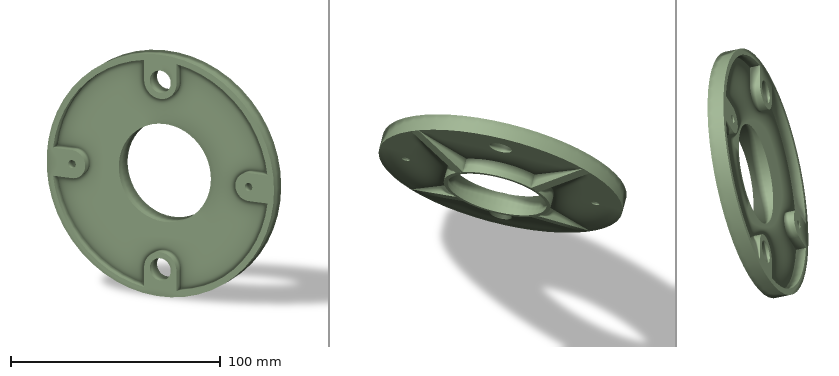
import cadquery as cq
import math

disc_diameter = 119.9
disc_thickness = 8.0
rim_width = 3.0
floor_thickness = 3.0
pocket_depth = disc_thickness - floor_thickness

bore_diameter = 48.5
collar_diameter = 52.5
overall_depth = 15.0
collar_height = overall_depth - disc_thickness

boss_pitch_radius = 46.5
large_boss_radius = 8.5
large_hole_diameter = 11.0
small_boss_radius = 7.0
small_hole_diameter = 4.0

rib_thickness = 5.0
rib_outer_radius = 59.5
rib_angles = (45, 135, 225, 315)


def cylinder(diameter, start, length):
    """Solid cylinder on the Y axis, running from Y = start toward +Y."""
    plane = cq.Plane(origin=(0, start, 0), xDir=(1, 0, 0), normal=(0, 1, 0))
    return cq.Workplane(plane).circle(diameter / 2).extrude(length)


def turned(shape, angle):
    """Turn a shape about the Y axis."""
    return shape.rotate((0, 0, 0), (0, 1, 0), angle)


def boss(radius):
    """Round-nosed boss on the +X side, reaching out into the rim."""
    reach = disc_diameter / 2 - rim_width / 2 - boss_pitch_radius
    nose = cylinder(2 * radius, 0, pocket_depth).translate((boss_pitch_radius, 0, 0))
    shank = (
        cq.Workplane("XY")
        .box(reach, pocket_depth, 2 * radius, centered=(False, False, True))
        .translate((boss_pitch_radius, 0, 0))
    )
    return nose.union(shank).intersect(cylinder(disc_diameter, 0, pocket_depth))


def rib():
    """Triangular rib on the +X side, full height where it leaves the collar."""
    inner_radius = (bore_diameter + collar_diameter) / 4
    crest_radius = math.sqrt((collar_diameter / 2) ** 2 - (rib_thickness / 2) ** 2)
    return (
        cq.Workplane("XY")
        .moveTo(inner_radius, disc_thickness)
        .lineTo(rib_outer_radius, disc_thickness)
        .lineTo(crest_radius, overall_depth)
        .lineTo(inner_radius, overall_depth)
        .close()
        .extrude(rib_thickness / 2, both=True)
    )


pocket_diameter = disc_diameter - 2 * rim_width
result = cylinder(disc_diameter, 0, disc_thickness)
result = result.cut(cylinder(pocket_diameter, 0, pocket_depth))

result = result.union(cylinder(collar_diameter, disc_thickness, collar_height))
for angle in rib_angles:
    result = result.union(turned(rib(), angle))

for radius, hole_diameter, angles in (
    (small_boss_radius, small_hole_diameter, (0, 180)),
    (large_boss_radius, large_hole_diameter, (90, 270)),
):
    hole = cylinder(hole_diameter, 0, disc_thickness).translate((boss_pitch_radius, 0, 0))
    for angle in angles:
        result = result.union(turned(boss(radius), angle))
        result = result.cut(turned(hole, angle))

result = result.cut(cylinder(bore_diameter, 0, overall_depth))